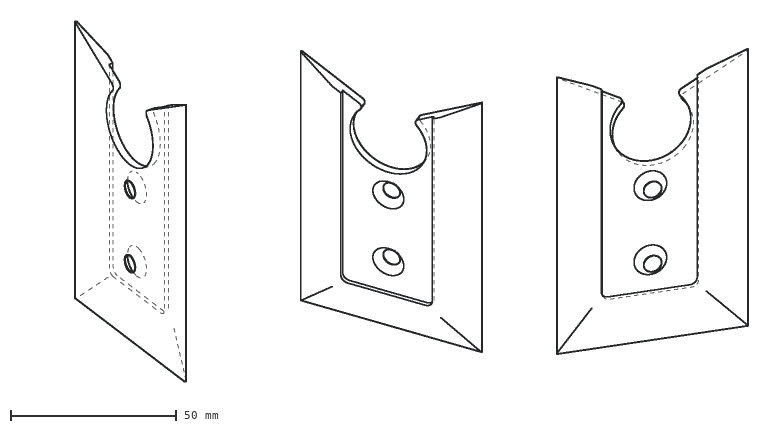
import cadquery as cq
import math

width = 60.0
height = 96.8
thickness = 4.0
bevel_run = 12.0
edge_rounding = 0.24
edge_thickness = 0.6

entry_angle = 30.0
entry_depth = width / 2 * math.tan(math.radians(entry_angle))
opening_radius = 12.7
opening_z = 74.15
lip_radius = 1.55

pocket_width = 30.2
pocket_depth = 1.4
pocket_corner_radius = 2.2
pocket_bottom_z = 15.1

screw_hole_diameter = 5.6
screw_hole_land = 0.3
countersink_angle = 90.0
screw_hole_heights = (26.7, 52.7)


def make_beveled_plate():
    """Rectangular plate with the back sloping down to thin side and bottom edges."""
    half_width = width / 2
    cross_section = [
        (-half_width, 0),
        (half_width, 0),
        (half_width, edge_thickness),
        (half_width - bevel_run, thickness),
        (bevel_run - half_width, thickness),
        (-half_width, edge_thickness),
    ]
    side_profile = [
        (0, 0),
        (0, height),
        (thickness, height),
        (thickness, bevel_run),
        (edge_thickness, 0),
    ]
    across = cq.Workplane("XY").polyline(cross_section).close().extrude(height)
    along = cq.Workplane("YZ").polyline(side_profile).close().extrude(half_width, both=True)
    plate = across.intersect(along)
    rim_edges = cq.selectors.BoxSelector(
        (-width, -edge_thickness, -edge_thickness),
        (width, 2 * edge_thickness, height - edge_thickness),
    )
    return plate.edges(rim_edges).edges("|X or |Z").fillet(edge_rounding)


def cut_through_depth(sketch):
    """Extrude a sketch on the front face through the full thickness."""
    return sketch.extrude(-thickness)


def make_outline():
    """Front outline with the V entry, the round opening and its rounded lips."""
    half_width = width / 2
    corners = [
        (-half_width, 0),
        (half_width, 0),
        (half_width, height),
        (0, height - entry_depth),
        (-half_width, height),
    ]
    blank = cut_through_depth(cq.Workplane("XZ").polyline(corners).close())
    opening = cut_through_depth(cq.Workplane("XZ").center(0, opening_z).circle(opening_radius))
    lip_edges = cq.selectors.BoxSelector(
        (-opening_radius, -thickness, opening_z + lip_radius),
        (opening_radius, 2 * thickness, height),
    )
    return blank.cut(opening).edges("|Y").edges(lip_edges).fillet(lip_radius)


def make_pocket():
    """Pocket with rounded lower corners, running out through the V entry."""
    pocket_height = height - pocket_bottom_z
    return (
        cq.Workplane("XY")
        .box(pocket_width, pocket_depth, pocket_height, centered=(True, False, False))
        .edges("|Y and <Z")
        .fillet(pocket_corner_radius)
        .translate((0, thickness - pocket_depth, pocket_bottom_z))
    )


def make_screw_holes():
    """Through holes on the centre line, countersunk from the pocket floor."""
    radius = screw_hole_diameter / 2
    floor_y = thickness - pocket_depth
    sink_depth = floor_y - screw_hole_land
    sink_radius = radius + sink_depth * math.tan(math.radians(countersink_angle / 2))
    hole_profile = [
        (0, 0),
        (radius, 0),
        (radius, screw_hole_land),
        (sink_radius, floor_y),
        (0, floor_y),
    ]
    hole = cq.Workplane("XY").polyline(hole_profile).close().revolve(360, (0, 0), (0, 1))
    holes = cq.Workplane("XY")
    for z in screw_hole_heights:
        holes = holes.add(hole.translate((0, 0, z)))
    return holes.combine()


result = make_beveled_plate().intersect(make_outline()).cut(make_pocket()).cut(make_screw_holes())